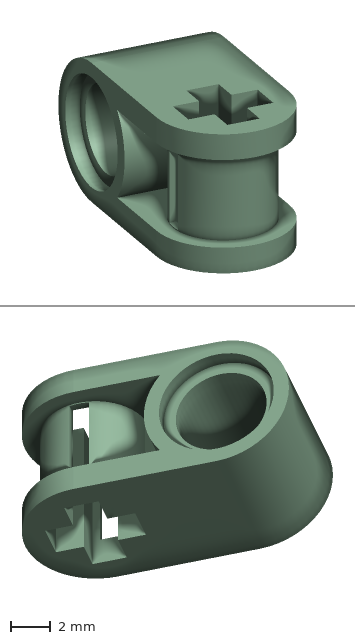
import cadquery as cq

length = 15.09
depth = 7.42
height = 7.67
pin_hole_radius = 2.4
pin_recess_radius = 3.03
pin_recess_depth = 0.81
plate_thickness = 1.42
sleeve_radius = 2.8
cross_span = 4.75
cross_arm_width = 1.81
web_thickness = 1.0
window_width = 1.03
window_height = 4.71

hub_radius = height / 2
end_radius = depth / 2
axle_x = length - hub_radius - end_radius
gap_height = height - 2 * plate_thickness


def y_cylinder(radius, span):
    """Cylinder along Y on the pin hole axis, centred on the XZ plane."""
    return cq.Workplane("XZ").circle(radius).extrude(span / 2, both=True)


def make_plates():
    """Two parallel plates with a common round end about the axle axis."""
    blank = cq.Workplane("XY").box(axle_x, depth, height).translate((axle_x / 2, 0, 0))
    round_end = (
        cq.Workplane("XY").center(axle_x, 0).circle(end_radius).extrude(height / 2, both=True)
    )
    gap_length = axle_x + end_radius
    gap = cq.Workplane("XY").box(gap_length, depth, gap_height).translate((gap_length / 2, 0, 0))
    return blank.union(round_end).cut(gap)


def make_sleeve():
    """Round sleeve between the plates, joined to the hub by a central web."""
    sleeve = (
        cq.Workplane("XY").center(axle_x, 0).circle(sleeve_radius).extrude(height / 2, both=True)
    )
    web = cq.Workplane("XY").box(axle_x, web_thickness, gap_height).translate((axle_x / 2, 0, 0))
    return sleeve.union(web)


def cut_pin_hole(body):
    """Through hole along Y with a shallow recess at each end."""
    body = body.cut(y_cylinder(pin_hole_radius, depth))
    recesses = y_cylinder(pin_recess_radius, depth).cut(
        y_cylinder(pin_recess_radius, depth - 2 * pin_recess_depth)
    )
    return body.cut(recesses)


def cut_axle_hole(body):
    """Cross-shaped hole through both plates and the sleeve."""
    cross = (
        cq.Workplane("XY")
        .box(cross_span, cross_arm_width, height)
        .union(cq.Workplane("XY").box(cross_arm_width, cross_span, height))
    )
    return body.cut(cross.translate((axle_x, 0, 0)))


def cut_windows(body):
    """Narrow openings through the front and back walls of the sleeve."""
    window = cq.Workplane("XY").box(window_width, depth, window_height)
    return body.cut(window.translate((axle_x, 0, 0)))


hub = y_cylinder(hub_radius, depth)
body = hub.union(make_plates()).union(make_sleeve())
body = cut_pin_hole(body)
body = cut_axle_hole(body)
result = cut_windows(body)